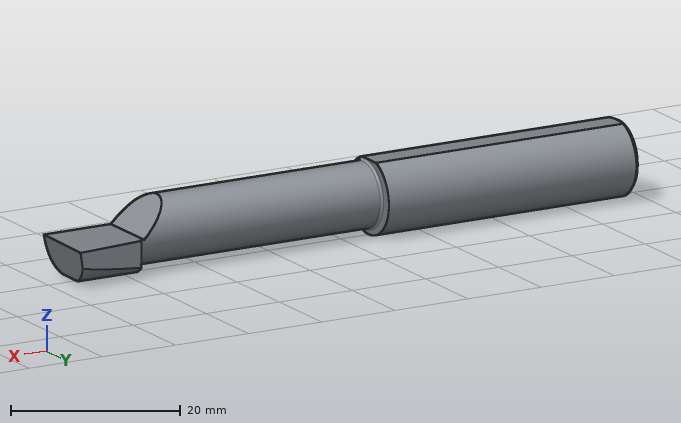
import cadquery as cq
import math

total_length = 76.2
shank_diameter = 9.5
shank_length = 34.3
end_chamfer = 0.45
flat_depth = 0.3

neck_diameter = 8.15
neck_back_y = 3.2
shoulder_fillet = 0.3

tip_length = 9.4
cutting_height = 0.0
ramp_angle = 45.0
relief_angle = 9.0

flare_length = 8.85
flare_start_y = 3.4
cutting_corner_y = 4.35
tip_skew = 0.2

shank_radius = shank_diameter / 2
flat_height = shank_radius - flat_depth
neck_radius = neck_diameter / 2
neck_offset = neck_back_y - neck_radius
ledge_start = total_length - tip_length
flare_start = total_length - flare_length


def x_cylinder(radius, start, end, center_y=0.0):
    """Round bar parallel to X."""
    return (
        cq.Workplane("YZ", origin=(start, center_y, 0))
        .circle(radius)
        .extrude(end - start)
    )


def make_shank():
    """Clamping shank with a chamfered end and a flat along the top."""
    shank = x_cylinder(shank_radius, 0, shank_length).faces("<X").chamfer(end_chamfer)
    below_flat = cq.Workplane("XY").box(
        shank_length, 2 * shank_radius, shank_radius + flat_height, centered=(False, True, False)
    ).translate((0, 0, -shank_radius))
    return shank.intersect(below_flat)


def make_neck():
    """Offset round neck, with a concave fillet where it leaves the shank shoulder."""
    fillet_end = shank_length + shoulder_fillet
    outer_radius = neck_radius + shoulder_fillet
    arc_reach = shoulder_fillet * (1 - math.sqrt(0.5))
    return (
        cq.Workplane("XY", origin=(0, neck_offset, 0))
        .moveTo(shank_length, 0)
        .lineTo(shank_length, outer_radius)
        .threePointArc((shank_length + arc_reach, neck_radius + arc_reach), (fillet_end, neck_radius))
        .lineTo(total_length, neck_radius)
        .lineTo(total_length, 0)
        .close()
        .revolve(360, (0, 0, 0), (1, 0, 0))
    )


def make_flare():
    """Widened cutting head whose back side spreads toward the cutting corner."""
    return (
        cq.Workplane("XY", origin=(0, 0, cutting_height))
        .moveTo(flare_start, neck_offset)
        .lineTo(flare_start, flare_start_y)
        .lineTo(total_length, cutting_corner_y)
        .lineTo(total_length, neck_offset)
        .close()
        .extrude(-neck_radius - cutting_height)
    )


def make_ledge_cutter():
    """Material removed above the cutting face and its sloping run-out."""
    cut_rise = shank_radius - cutting_height
    ramp_run = cut_rise / math.tan(math.radians(ramp_angle))
    return (
        cq.Workplane("XZ")
        .moveTo(ledge_start, cutting_height)
        .lineTo(ledge_start - ramp_run, shank_radius)
        .lineTo(total_length, shank_radius)
        .lineTo(total_length, cutting_height)
        .close()
        .extrude(shank_radius, both=True)
    )


def make_end_cutter():
    """Slanted half-space that gives the tip its end skew and clearance."""
    skew_angle = math.atan2(tip_skew, cutting_corner_y + shank_radius)
    normal = cq.Vector(math.cos(skew_angle), -math.sin(skew_angle), -math.tan(math.radians(relief_angle)))
    corner = (total_length, cutting_corner_y, cutting_height)
    cutter_size = 4 * shank_radius
    plane = cq.Plane(origin=corner, normal=normal)
    return cq.Workplane(plane).rect(cutter_size, cutter_size).extrude(cutter_size)


bar_envelope = x_cylinder(shank_radius, 0, total_length)
working_end = make_neck().union(make_flare()).intersect(bar_envelope)
working_end = working_end.cut(make_ledge_cutter()).cut(make_end_cutter())

result = make_shank().union(working_end)